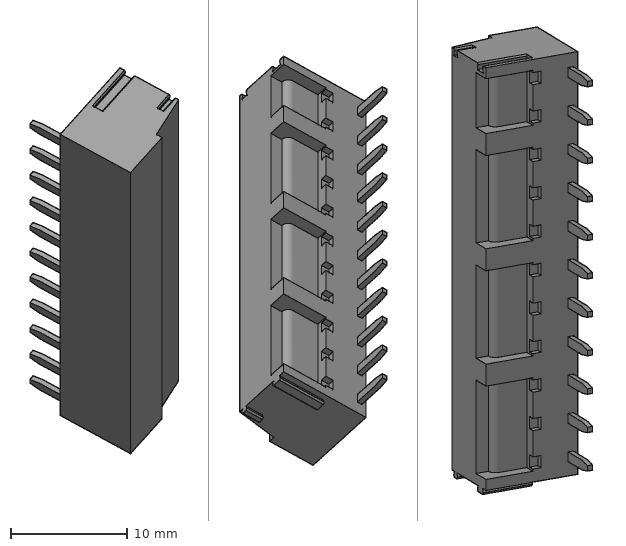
import cadquery as cq

body_width = 7.4
body_depth = 9.0
body_height = 38.5

ledge_y = 4.75
flank_base_x = 6.8
flank_top_x = 6.17

pin_count = 11
pitch = 3.5
first_pin_z = (body_height - (pin_count - 1) * pitch) / 2
pin_zs = [first_pin_z + i * pitch for i in range(pin_count)]

pin_length = 3.5
pin_width = 0.9
pin_tip_width = 0.5
pin_taper = 1.0
pin_thickness = 0.5
pin_y = 0.7

pocket_y = 4.4
pocket_depth = 1.1
nose_radius = 0.7
nose_y = 7.8
end_wall = 1.0
rib_thickness = 2.0
pins_per_pocket = 3

notch_bottom_y = 3.6
notch_height = 1.1
notch_depth = 0.6

rail_height = 0.55
rail_tip_height = 0.2
slot_mouth_height = 0.15
rail_flare = 0.12
slot_depth = 0.65
slot_flare = 0.13
long_rail_x = 1.02
long_rail_width = 1.1
long_rail_length = 4.8
short_rail_x = 5.5
short_rail_width = 0.7
short_rail_length = 1.8
rails = [
    (long_rail_x, long_rail_width, long_rail_length),
    (short_rail_x, short_rail_width, short_rail_length),
]


def make_housing():
    outline = [
        (0, 0),
        (body_width, 0),
        (body_width, ledge_y),
        (flank_base_x, ledge_y),
        (flank_top_x, body_depth),
        (0, body_depth),
    ]
    return cq.Workplane("XY").polyline(outline).close().extrude(body_height)


def make_pocket(z_bottom, z_top):
    """Pocket open at the rear, with a rounded nose where its floor drops deeper."""
    return (
        cq.Workplane("XY")
        .workplane(offset=z_bottom)
        .moveTo(0, pocket_y)
        .lineTo(pocket_depth, pocket_y)
        .lineTo(pocket_depth, nose_y - nose_radius)
        .tangentArcPoint((pocket_depth + nose_radius, nose_y), relative=False)
        .lineTo(pocket_depth + nose_radius, body_depth)
        .lineTo(0, body_depth)
        .close()
        .extrude(z_top - z_bottom)
    )


def pocket_spans():
    """Bottom and top height of every pocket, from the underside up."""
    rib_zs = [pin_zs[i] - pitch / 2 for i in range(pins_per_pocket, pin_count, pins_per_pocket)]
    bottoms = [end_wall] + [z + rib_thickness / 2 for z in rib_zs]
    tops = [z - rib_thickness / 2 for z in rib_zs] + [body_height - end_wall]
    return list(zip(bottoms, tops))


def make_notch(z):
    return (
        cq.Workplane("XY")
        .box(notch_depth, pocket_y - notch_bottom_y, notch_height, centered=(False, False, True))
        .translate((0, notch_bottom_y, z))
    )


def make_pin(z):
    half_width = pin_width / 2
    half_tip = pin_tip_width / 2
    taper_x = pin_taper - pin_length
    outline = [
        (0, z - half_width),
        (0, z + half_width),
        (taper_x, z + half_width),
        (-pin_length, z + half_tip),
        (-pin_length, z - half_tip),
        (taper_x, z - half_width),
    ]
    return (
        cq.Workplane("XZ", origin=(0, pin_y, 0))
        .polyline(outline)
        .close()
        .extrude(pin_thickness / 2, both=True)
    )


def extrude_from_rear(outline, length):
    return cq.Workplane("XZ", origin=(0, body_depth, 0)).polyline(outline).close().extrude(length)


def make_rail(x, width, length):
    """Rail under the housing: flares out from a narrow neck, then closes to a chamfered tip."""
    wide = width / 2
    narrow = wide - rail_flare
    widest_z = rail_tip_height - rail_height
    outline = [
        (x - narrow, 0),
        (x - wide, widest_z),
        (x - narrow, -rail_height),
        (x + narrow, -rail_height),
        (x + wide, widest_z),
        (x + narrow, 0),
    ]
    return extrude_from_rear(outline, length)


def make_slot(x, width, length):
    """Undercut slot in the top: a chamfered mouth, a narrow neck and a wide floor."""
    wide = width / 2
    narrow = wide - slot_flare
    neck_z = body_height - slot_mouth_height
    floor_z = body_height - slot_depth
    outline = [
        (x - wide, body_height),
        (x - narrow, neck_z),
        (x - wide, floor_z),
        (x + wide, floor_z),
        (x + narrow, neck_z),
        (x + wide, body_height),
    ]
    return extrude_from_rear(outline, length)


result = make_housing()

for z_bottom, z_top in pocket_spans():
    result = result.cut(make_pocket(z_bottom, z_top))

for pin_z in pin_zs:
    result = result.cut(make_notch(pin_z)).union(make_pin(pin_z))

for rail_x, rail_width, rail_length in rails:
    result = result.union(make_rail(rail_x, rail_width, rail_length))
    result = result.cut(make_slot(rail_x, rail_width, rail_length))